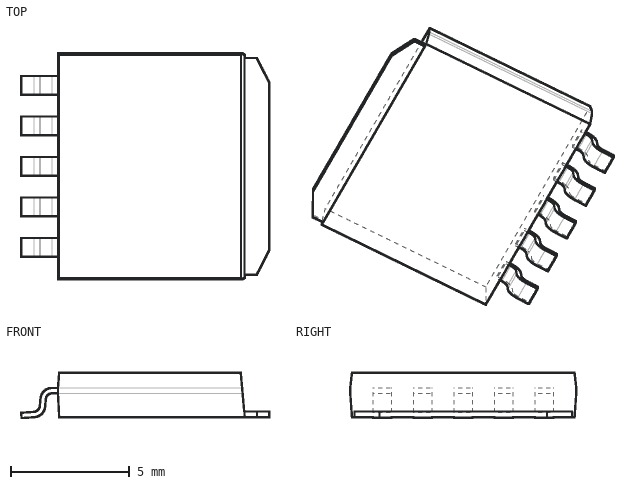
import cadquery as cq
import math

total_length = 10.45
total_height = 1.92

housing_width = 9.52
housing_base_z = 0.03
band_bottom_z = 1.05
lead_thickness = 0.235
band_top_z = band_bottom_z + lead_thickness
band_left_x = 1.55
left_draft_inset = 0.05
side_draft_inset = 0.07
right_top_x = 9.25
right_bottom_x = 9.42

tab_width = 9.13
tab_thickness = 0.26
tab_corner_length = 0.53
tab_corner_width = 1.05

lead_count = 5
lead_pitch = 1.7
lead_width = 0.79
inner_radius = 0.26
outer_radius = inner_radius + lead_thickness
leg_lean = 5.0
foot_tilt = 4.0
foot_length = 0.54


def right_face_x(z):
    """X of the single sloping right face of the housing at height z."""
    rise = (z - housing_base_z) / (total_height - housing_base_z)
    return right_bottom_x + rise * (right_top_x - right_bottom_x)


def housing_section(z, left_inset, side_inset):
    """Rectangular wire around the housing at height z."""
    left_x = band_left_x + left_inset
    right_x = right_face_x(z)
    half_width = housing_width / 2 - side_inset
    corners = [
        (left_x, -half_width, z),
        (right_x, -half_width, z),
        (right_x, half_width, z),
        (left_x, half_width, z),
    ]
    return cq.Wire.makePolygon([cq.Vector(*corner) for corner in corners], close=True)


def make_housing():
    """Straight-sided band between two drafted halves."""
    sections = [
        housing_section(housing_base_z, left_draft_inset, side_draft_inset),
        housing_section(band_bottom_z, 0, 0),
        housing_section(band_top_z, 0, 0),
        housing_section(total_height, left_draft_inset, side_draft_inset),
    ]
    layers = [
        cq.Workplane(obj=cq.Solid.makeLoft([lower, upper], True))
        for lower, upper in zip(sections, sections[1:])
    ]
    return layers[0].union(layers[1]).union(layers[2])


def make_tab(housing):
    """Plate with cut outer corners, ending against the sloping right face."""
    half_width = tab_width / 2
    plate = (
        cq.Workplane("XY", origin=(0, 0, housing_base_z))
        .moveTo(right_top_x, -half_width)
        .lineTo(total_length - tab_corner_length, -half_width)
        .lineTo(total_length, -half_width + tab_corner_width)
        .lineTo(total_length, half_width - tab_corner_width)
        .lineTo(total_length - tab_corner_length, half_width)
        .lineTo(right_top_x, half_width)
        .close()
        .extrude(tab_thickness)
    )
    return plate.cut(housing)


def polar(center, radius, degrees):
    """Point at the given radius and angle from a center in the XZ plane."""
    angle = math.radians(degrees)
    return (center[0] + radius * math.cos(angle), center[1] + radius * math.sin(angle))


def make_lead(y):
    """Gull-wing lead: shoulder, upper bend, leaning leg, lower bend and foot."""
    lean = math.radians(leg_lean)
    tilt = math.radians(foot_tilt)

    tip_top = (0, lead_thickness * math.cos(tilt))
    tip_bottom = (lead_thickness * math.sin(tilt), 0)
    lower_center = (
        foot_length * math.cos(tilt) - inner_radius * math.sin(tilt),
        outer_radius * math.cos(tilt) + foot_length * math.sin(tilt),
    )

    upper_center_z = band_top_z - outer_radius
    radius_sum = inner_radius + outer_radius
    center_rise = upper_center_z - lower_center[1]
    leg_length = (center_rise + radius_sum * math.sin(lean)) / math.cos(lean)
    upper_center_x = lower_center[0] + radius_sum * math.cos(lean) + leg_length * math.sin(lean)
    upper_center = (upper_center_x, upper_center_z)

    upper_start = 90
    upper_end = 180 - leg_lean
    upper_mid = (upper_start + upper_end) / 2
    lower_start = -leg_lean
    lower_end = foot_tilt - 90
    lower_mid = (lower_start + lower_end) / 2

    profile = (
        cq.Workplane("XZ", origin=(0, y + lead_width / 2, 0))
        .moveTo(band_left_x, band_top_z)
        .lineTo(*polar(upper_center, outer_radius, upper_start))
        .threePointArc(polar(upper_center, outer_radius, upper_mid),
                       polar(upper_center, outer_radius, upper_end))
        .lineTo(*polar(lower_center, inner_radius, lower_start))
        .threePointArc(polar(lower_center, inner_radius, lower_mid),
                       polar(lower_center, inner_radius, lower_end))
        .lineTo(*tip_top)
        .lineTo(*tip_bottom)
        .lineTo(*polar(lower_center, outer_radius, lower_end))
        .threePointArc(polar(lower_center, outer_radius, lower_mid),
                       polar(lower_center, outer_radius, lower_start))
        .lineTo(*polar(upper_center, inner_radius, upper_end))
        .threePointArc(polar(upper_center, inner_radius, upper_mid),
                       polar(upper_center, inner_radius, upper_start))
        .lineTo(band_left_x, band_bottom_z)
        .close()
    )
    return profile.extrude(lead_width)


housing = make_housing()
tab = make_tab(housing)
first_lead_y = -lead_pitch * (lead_count - 1) / 2
leads = [make_lead(first_lead_y + index * lead_pitch) for index in range(lead_count)]

result = cq.Compound.makeCompound([housing.solids().val(), tab.solids().val(), *[lead.val() for lead in leads]])